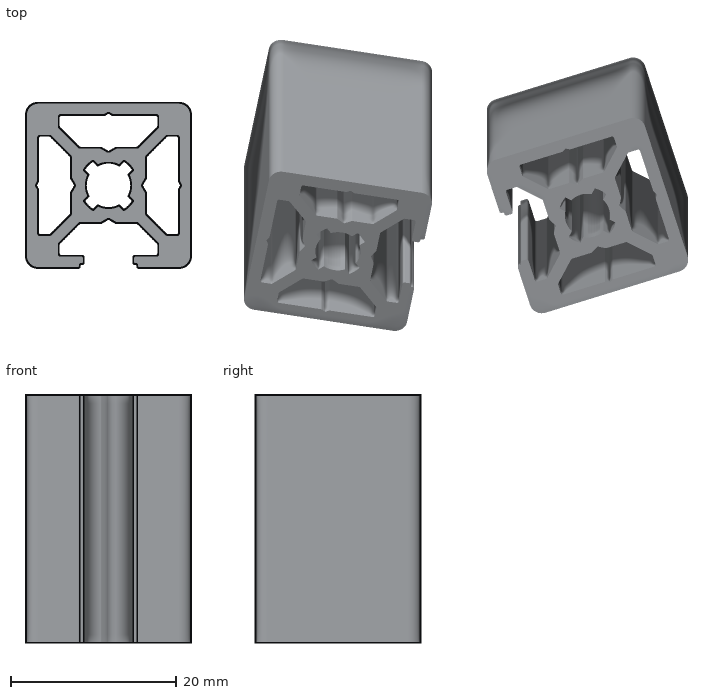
import cadquery as cq
import math

side = 20.0
length = 30.0
outer_radius = 1.5
half_side = side / 2

wall = 1.5
web = 1.5
cavity_half_width = 6.0
core_half = 4.55
edge_radius = 0.25
wall_inside = half_side - wall

core_groove_half_width = 0.9
wall_groove_half_width = 0.48
groove_radius = 0.18
groove_flank_angle = 30

bore_radius = 2.73
notch_reach = 3.5
notch_width = 1.55

slot_half_width = 2.97
step_radius = 0.12
lip_step = 0.48

top_side = 0
left_side = 90
open_side = 180
right_side = 270


def extrude_polygon(points):
    return cq.Workplane("XY").polyline(points).close().extrude(length)


def turn(body, angle):
    return body.rotate((0, 0, 0), (0, 0, 1), angle)


def centred_block(half_width, y_start, y_end):
    """Block symmetric about the Y axis, running the full length."""
    return extrude_polygon([
        (-half_width, y_start),
        (half_width, y_start),
        (half_width, y_end),
        (-half_width, y_end),
    ])


def v_groove(half_width, face_y, direction):
    """V-shaped groove cut into the face at face_y, deepening along +Y (1) or -Y (-1)."""
    depth = half_width * math.tan(math.radians(groove_flank_angle))
    return extrude_polygon([
        (-half_width, face_y),
        (half_width, face_y),
        (0, face_y + direction * depth),
    ])


def cavity():
    """Cavity on the +Y side, its slanted flanks parallel to the diagonals."""
    flank_offset = web / 2 * math.sqrt(2)
    core_end = core_half - flank_offset
    flank_end = cavity_half_width + flank_offset
    body = extrude_polygon([
        (-core_end, core_half),
        (core_end, core_half),
        (cavity_half_width, flank_end),
        (cavity_half_width, wall_inside),
        (-cavity_half_width, wall_inside),
        (-cavity_half_width, flank_end),
    ])
    body = body.edges("|Z").fillet(edge_radius)
    body = body.union(v_groove(core_groove_half_width, core_half, -1))
    groove_edges = cq.selectors.BoxSelector(
        (-core_groove_half_width - groove_radius, 0, 0),
        (core_groove_half_width + groove_radius, core_half + groove_radius, length),
    )
    return body.edges("|Z").edges(groove_edges).fillet(groove_radius)


def closed_cavity():
    return cavity().union(v_groove(wall_groove_half_width, wall_inside, 1))


def bore():
    cutter = cq.Workplane("XY").circle(bore_radius).extrude(length)
    notch_limit = cq.Workplane("XY").circle(notch_reach).extrude(length)
    for angle in (45, 135):
        notch = cq.Workplane("XY").rect(2 * notch_reach, notch_width).extrude(length)
        cutter = cutter.union(turn(notch.intersect(notch_limit), angle))
    return cutter


def slot():
    """Stepped slot through the outer wall on the +Y side."""
    step_start = half_side - lip_step
    throat = centred_block(slot_half_width, wall_inside, half_side)
    mouth = centred_block(slot_half_width + lip_step, step_start, half_side)
    return throat.union(mouth)


def round_lips(body):
    """Round the three outside edges and the inside step corner of each lip on the -Y side."""
    mouth_half_width = slot_half_width + lip_step
    step_y = half_side - lip_step
    lip_edges = [
        (slot_half_width, wall_inside, edge_radius),
        (slot_half_width, step_y, edge_radius),
        (mouth_half_width, step_y, step_radius),
        (mouth_half_width, half_side, edge_radius),
    ]
    for x, y, radius in lip_edges:
        for lip_x in (-x, x):
            edge_middle = (lip_x, -y, length / 2)
            edge = body.edges("|Z").edges(cq.selectors.NearestToPointSelector(edge_middle))
            body = edge.fillet(radius)
    return body


profile = cq.Workplane("XY").rect(side, side).extrude(length)
profile = profile.edges("|Z").fillet(outer_radius)
for angle in (top_side, left_side, right_side):
    profile = profile.cut(turn(closed_cavity(), angle))
profile = profile.cut(turn(cavity().union(slot()), open_side))
profile = round_lips(profile)
result = profile.cut(bore())